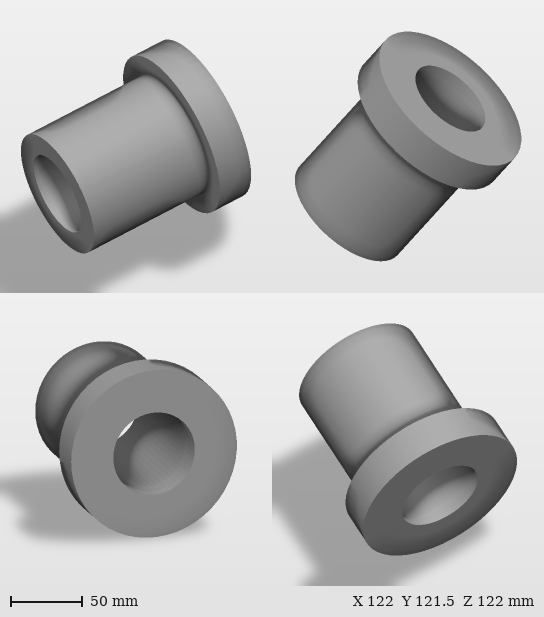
import cadquery as cq

flange_diameter = 122.0
flange_thickness = 26.0
sleeve_diameter = 92.4
bore_diameter = 60.0
total_length = 121.5
root_fillet_radius = 1.0

sleeve_length = total_length - flange_thickness
root_radius = sleeve_diameter / 2 + root_fillet_radius
fillet_start = sleeve_length - root_fillet_radius

half_section = (
    cq.Workplane("XY")
    .moveTo(bore_diameter / 2, 0)
    .lineTo(sleeve_diameter / 2, 0)
    .lineTo(sleeve_diameter / 2, fillet_start)
    .radiusArc((root_radius, sleeve_length), root_fillet_radius)
    .lineTo(flange_diameter / 2, sleeve_length)
    .lineTo(flange_diameter / 2, total_length)
    .lineTo(bore_diameter / 2, total_length)
    .close()
)

result = half_section.revolve(360, (0, 0, 0), (0, 1, 0))